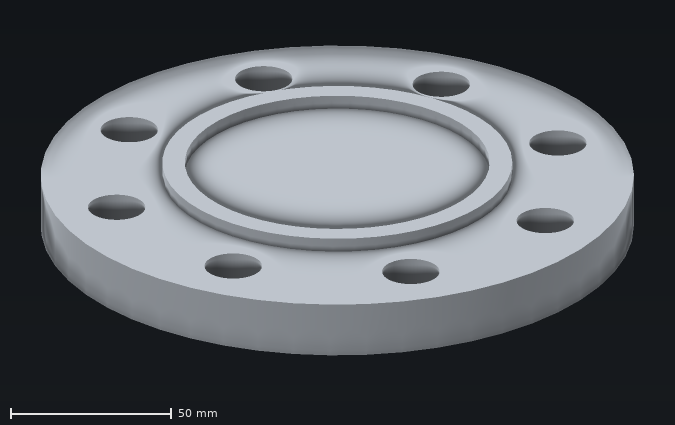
import cadquery as cq

flange_diameter = 185.0
total_height = 22.0
ring_height = 4.5
flange_thickness = total_height - ring_height

ring_outer_diameter = 109.2
ring_inner_diameter = 95.0

bolt_count = 8
bolt_circle_diameter = 145.0
bolt_hole_diameter = 18.0
bolt_spacing = 360 / bolt_count


def make_flange():
    return cq.Workplane("XY").circle(flange_diameter / 2).extrude(flange_thickness)


def add_sealing_ring(body):
    ring = (
        cq.Workplane("XY", origin=(0, 0, flange_thickness))
        .circle(ring_outer_diameter / 2)
        .circle(ring_inner_diameter / 2)
        .extrude(ring_height)
    )
    return body.union(ring)


def cut_bolt_holes(body):
    holes = (
        cq.Workplane("XY")
        .polarArray(bolt_circle_diameter / 2, bolt_spacing / 2, 360, bolt_count)
        .circle(bolt_hole_diameter / 2)
        .extrude(flange_thickness)
    )
    return body.cut(holes)


result = cut_bolt_holes(add_sealing_ring(make_flange()))